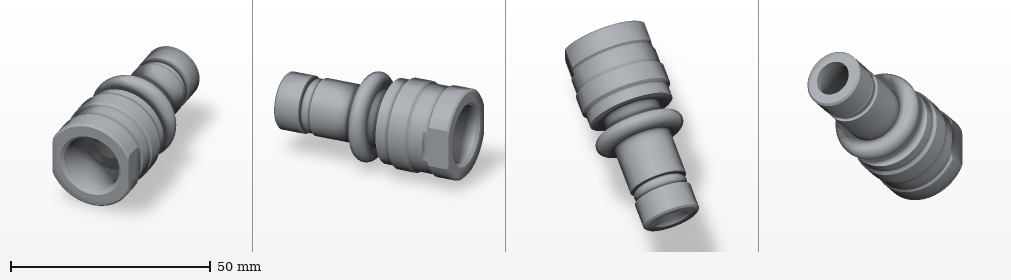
import cadquery as cq

length = 50.0
wrench_end = 6.0
collar_start = 11.1
collar_end = 17.0
shoulder_end = 20.0
large_ring_y = 26.0
small_ring_y = 41.6

body_radius = 11.75
neck_radius = 11.25
shoulder_radius = 11.0
stem_radius = 7.45
large_ring_radius = 11.6
small_ring_radius = 7.0
bore_radius = 4.5
socket_radius = 7.6

large_ring_width = 4.0
small_ring_width = 3.2
edge_chamfer = 0.5
socket_chamfer = 0.75
socket_depth = 12.0
flat_distance = 10.5
flat_length = 7.0


def add_round_rim(profile, center_y, width, radius):
    """Draw a ring with a full-round rim, from its front side to its back."""
    half = width / 2
    return (
        profile.lineTo(radius - half, center_y - half)
        .threePointArc((radius, center_y), (radius - half, center_y + half))
    )


def make_body():
    """Revolve the outer outline, including both rings, about the Y axis."""
    large_half = large_ring_width / 2
    small_half = small_ring_width / 2
    collar_step = body_radius - shoulder_radius
    neck_step = body_radius - neck_radius
    outline = (
        cq.Workplane("XY")
        .moveTo(0, 0)
        .lineTo(body_radius - edge_chamfer, 0)
        .lineTo(body_radius, edge_chamfer)
        .lineTo(body_radius, wrench_end - neck_step)
        .lineTo(neck_radius, wrench_end)
        .lineTo(neck_radius, collar_start)
        .lineTo(body_radius, collar_start + neck_step)
        .lineTo(body_radius, collar_end - collar_step)
        .lineTo(shoulder_radius, collar_end)
        .lineTo(shoulder_radius, shoulder_end)
        .lineTo(stem_radius, shoulder_end)
        .lineTo(stem_radius, large_ring_y - large_half)
    )
    outline = add_round_rim(outline, large_ring_y, large_ring_width, large_ring_radius)
    outline = (
        outline.lineTo(stem_radius, large_ring_y + large_half)
        .lineTo(stem_radius, small_ring_y - small_half)
    )
    outline = add_round_rim(outline, small_ring_y, small_ring_width, small_ring_radius)
    outline = (
        outline.lineTo(stem_radius, small_ring_y + small_half)
        .lineTo(stem_radius, length - edge_chamfer)
        .lineTo(stem_radius - edge_chamfer, length)
        .lineTo(0, length)
        .close()
    )
    return outline.revolve(360, (0, 0, 0), (0, 1, 0))


def make_bore():
    """Through bore opening into a wider socket with a chamfered mouth."""
    return (
        cq.Workplane("XY")
        .moveTo(0, 0)
        .lineTo(socket_radius + socket_chamfer, 0)
        .lineTo(socket_radius, socket_chamfer)
        .lineTo(socket_radius, socket_depth)
        .lineTo(bore_radius, socket_depth)
        .lineTo(bore_radius, length)
        .lineTo(0, length)
        .close()
        .revolve(360, (0, 0, 0), (0, 1, 0))
    )


def make_flat_cutter(side):
    """Block that removes the material outside one wrench flat."""
    return (
        cq.Workplane("XY")
        .box(body_radius, flat_length, 2 * body_radius)
        .translate((side * (flat_distance + body_radius / 2), flat_length / 2, 0))
    )


result = make_body().cut(make_bore())
for side in (-1, 1):
    result = result.cut(make_flat_cutter(side))